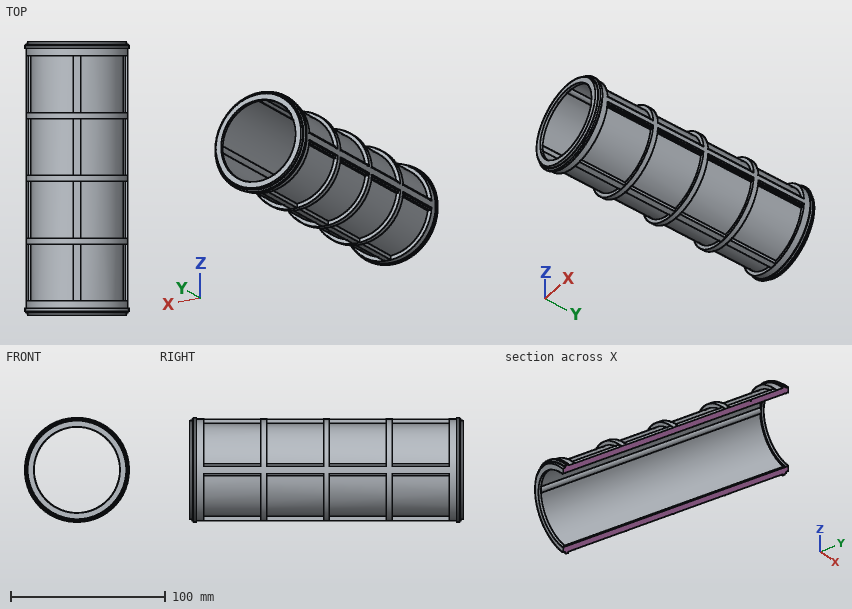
import cadquery as cq

length = 177.29
frame_radius = 66.04 / 2
flange_radius = 67.72 / 2
screen_radius = 60.45 / 2
bore_radius = 58.42 / 2
mouth_radius = 55.63 / 2

window_count = 4
window_length = 36.83
ring_width = 3.81
window_pitch = window_length + ring_width

nose_tip_radius = 63.8 / 2
nose_root_radius = 64.6 / 2
nose_length = 1.75
flange_cone_radius = 65.6 / 2
flange_start = 2.7
flange_end = 4.4
mouth_lip_length = 2.1

rib_width = 4.76
side_step_width = 7.8
side_step_radius = 31.4

ridge_setback = 0.03


def make_sleeve():
    """Revolved tube with a nose, a flange and a narrower mouth at each end."""
    end = length / 2
    mouth_end = end - mouth_lip_length
    outer_half = [
        (frame_radius, end - flange_end),
        (flange_radius, end - flange_end),
        (flange_radius, end - flange_start),
        (flange_cone_radius, end - nose_length),
        (nose_root_radius, end - nose_length),
        (nose_tip_radius, end),
    ]
    inner_half = [
        (mouth_radius, end),
        (mouth_radius, mouth_end),
        (bore_radius, mouth_end),
    ]
    upper_half = outer_half + inner_half
    lower_half = [(radius, -y) for radius, y in reversed(upper_half)]
    profile = cq.Workplane("XY").polyline(upper_half + lower_half).close()
    return profile.revolve(360, (0, 0, 0), (0, 1, 0))


def make_window_ring():
    """Material removed between two frame rings, leaving the screen and the ribs.

    The ribs at +X and -X stand on a wider step. Those at +Z and -Z have flat tops
    whose long edges lie on the frame cylinder.
    """
    flat_rib_radius = (frame_radius**2 - (rib_width / 2) ** 2) ** 0.5
    ring = (
        cq.Workplane("XZ")
        .circle(flange_radius)
        .circle(screen_radius)
        .extrude(window_length / 2, both=True)
    )
    side_ribs = cq.Workplane("XY").box(length, length, rib_width)
    upright_ribs = cq.Workplane("XY").box(rib_width, length, 2 * flat_rib_radius)
    side_steps = cq.Workplane("XY").box(2 * side_step_radius, length, side_step_width)
    return ring.cut(side_ribs).cut(upright_ribs).cut(side_steps)


def make_ridge():
    """Rounded ridge along the top of the bore, rooted in the wall."""
    half_rib = rib_width / 2
    root = (bore_radius**2 - half_rib**2) ** 0.5
    buried = (bore_radius + screen_radius) / 2
    return (
        cq.Workplane("XZ")
        .moveTo(-half_rib, buried)
        .lineTo(-half_rib, root)
        .threePointArc((0, mouth_radius + ridge_setback), (half_rib, root))
        .lineTo(half_rib, buried)
        .close()
        .extrude(length / 2 - mouth_lip_length, both=True)
    )


result = make_sleeve()

window_ring = make_window_ring()
for window in range(window_count):
    window_y = (window - (window_count - 1) / 2) * window_pitch
    result = result.cut(window_ring.translate((0, window_y, 0)))

ridge = make_ridge()
for quarter in range(4):
    result = result.union(ridge.rotate((0, 0, 0), (0, 1, 0), 90 * quarter))